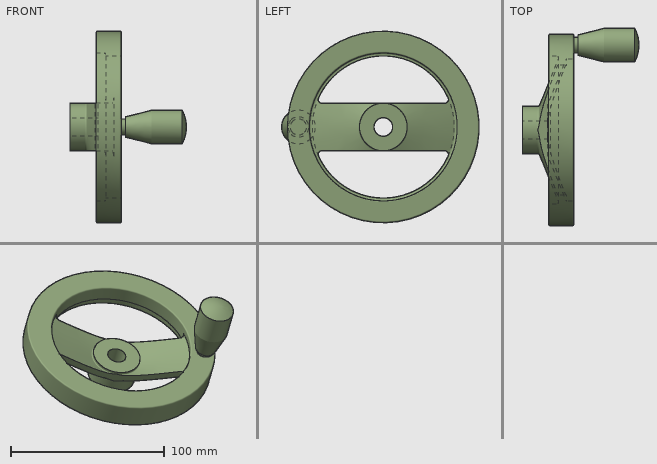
import cadquery as cq
import math

rim_radius = 125 / 2
rim_front = 17.1
rim_back = 33.5
rim_edge_fillet = 0.9
recess_radius = 96.4 / 2
land_radius = 92.5 / 2

hub_radius = 31.0 / 2
hub_back = 18.3
bore_radius = 12.0 / 2

web_inner_x = 10.8
web_slope = 0.41
web_thickness = 5.2
web_outer_radius = recess_radius
web_fillet = 1.3
back_fillet = 0.5
spoke_half_width = hub_radius
window_fillet = 2.5

grip_radius = 22.0 / 2
neck_radius = 10.5 / 2
neck_embed = 1.3
grip_small_radius = 6.7
handle_y = 128.8 - rim_radius - grip_radius
grip_start = 36.2
grip_cone_end = 53.2
grip_cylinder_end = 73.2
handle_end = 76.0


def revolve_about_x(profile):
    """Turn a closed (x, radius) profile around the X axis."""
    return profile.close().revolve(360, (0, 0, 0), (1, 0, 0))


def web_front(radius):
    """X of the conical front face of the web at a given radius."""
    return web_inner_x + web_slope * (radius - hub_radius)


def make_rim():
    rim = revolve_about_x(
        cq.Workplane("XY").moveTo(rim_front, recess_radius)
        .lineTo(rim_front, rim_radius)
        .lineTo(rim_back, rim_radius)
        .lineTo(rim_back, land_radius)
        .lineTo(web_front(land_radius), land_radius)
        .lineTo(web_front(recess_radius), recess_radius)
    )
    return rim.faces("<X or >X").edges().fillet(rim_edge_fillet)


def make_hub_and_web():
    """Hub and conical dish, turned together; the dish runs into the rim."""
    return revolve_about_x(
        cq.Workplane("XY").moveTo(0, bore_radius)
        .lineTo(0, hub_radius)
        .lineTo(web_inner_x, hub_radius)
        .lineTo(web_front(web_outer_radius), web_outer_radius)
        .lineTo(web_front(web_outer_radius) + web_thickness, web_outer_radius)
        .lineTo(web_inner_x + web_thickness, hub_radius)
        .lineTo(hub_back, hub_radius)
        .lineTo(hub_back, bore_radius)
    )


def fillet_circle(body, x, radius, fillet_radius):
    """Round the circular edge of the given radius centred on the axis at x."""
    margin = 0.01
    box = cq.selectors.BoxSelector(
        (x - margin, -radius - margin, -radius - margin),
        (x + margin, radius + margin, radius + margin),
        boundingbox=True,
    )
    return body.edges(box).edges(cq.selectors.RadiusNthSelector(-1)).fillet(fillet_radius)


def make_windows():
    """Two rounded openings, one on each side of the spokes."""
    opening = cq.Workplane("YZ").circle(land_radius).extrude(rim_back)
    spoke = cq.Workplane("YZ").rect(2 * rim_radius, 2 * spoke_half_width).extrude(rim_back)
    return opening.cut(spoke).edges("|X").fillet(window_fillet)


def make_wheel():
    wheel = make_hub_and_web()
    wheel = fillet_circle(wheel, web_inner_x, hub_radius, web_fillet)
    wheel = fillet_circle(wheel, web_inner_x + web_thickness, hub_radius, back_fillet)
    wheel = wheel.union(make_rim())
    wheel = fillet_circle(wheel, web_front(recess_radius), recess_radius, web_fillet)
    return wheel.cut(make_windows())


def make_handle():
    sagitta = handle_end - grip_cylinder_end
    dome_radius = (grip_radius**2 + sagitta**2) / (2 * sagitta)
    dome_mid_radius = grip_radius / 2
    dome_mid_x = handle_end - dome_radius + math.sqrt(dome_radius**2 - dome_mid_radius**2)
    handle = revolve_about_x(
        cq.Workplane("XY").moveTo(rim_back - neck_embed, 0)
        .lineTo(rim_back - neck_embed, neck_radius)
        .lineTo(grip_start, neck_radius)
        .lineTo(grip_start, grip_small_radius)
        .lineTo(grip_cone_end, grip_radius)
        .lineTo(grip_cylinder_end, grip_radius)
        .threePointArc((dome_mid_x, dome_mid_radius), (handle_end, 0))
    )
    return handle.translate((0, handle_y, 0))


result = make_wheel().union(make_handle())